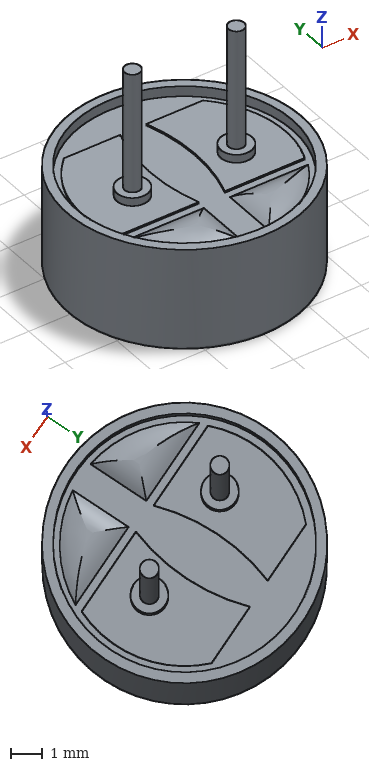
import cadquery as cq
import math

can_diameter = 9.0
can_height = 4.0
bore_diameter = 8.3
can_wall = (can_diameter - bore_diameter) / 2
bottom_fillet = 0.2

rim_depth = 0.4
face_z = can_height - rim_depth

pad_radius = 3.89
pad_thickness = 0.06
pad_top_y = 2.82
pad_bottom_y = -1.51
pad_corner_x = 0.5
pad_waist_x = 0.86

total_height = 8.6
pin_spacing = 4.0
pin_diameter = 0.6
collar_diameter = 1.2
collar_height = 0.315

bump_radius = 3.94
bump_inner_x = pad_corner_x
bump_top_y = -1.79
bump_height = 0.27
flank_width = 0.82
flank_radius = (flank_width**2 + bump_height**2) / (2 * bump_height)


def make_can():
    outer = cq.Workplane("XY").circle(can_diameter / 2).extrude(can_height)
    outer = outer.faces("<Z").edges().fillet(bottom_fillet)
    bore = cq.Workplane("XY", origin=(0, 0, can_wall)).circle(bore_diameter / 2).extrude(can_height)
    return outer.cut(bore)


def make_pad():
    """Pad on the +X side: outer arc, straight ends and a hollow inner edge."""
    top_outer_x = math.sqrt(pad_radius**2 - pad_top_y**2)
    bottom_outer_x = math.sqrt(pad_radius**2 - pad_bottom_y**2)
    middle_y = (pad_top_y + pad_bottom_y) / 2
    return (
        cq.Workplane("XY", origin=(0, 0, face_z))
        .moveTo(pad_corner_x, pad_bottom_y)
        .lineTo(bottom_outer_x, pad_bottom_y)
        .threePointArc((pad_radius, 0), (top_outer_x, pad_top_y))
        .lineTo(pad_corner_x, pad_top_y)
        .threePointArc((pad_waist_x, middle_y), (pad_corner_x, pad_bottom_y))
        .close()
        .extrude(pad_thickness)
    )


def flank_profile(plane, edge, inward, far):
    """Bump section whose rounded flank starts at edge and whose level top runs on to far."""
    arc_angle = math.asin(flank_width / flank_radius) / 2
    arc_end = edge + inward * flank_width
    arc_middle = arc_end - inward * flank_radius * math.sin(arc_angle)
    arc_middle_z = face_z + bump_height - flank_radius * (1 - math.cos(arc_angle))
    top_z = face_z + bump_height
    return (
        cq.Workplane(plane)
        .moveTo(edge, face_z)
        .threePointArc((arc_middle, arc_middle_z), (arc_end, top_z))
        .lineTo(far, top_z)
        .lineTo(far, face_z)
        .close()
    )


def make_bump():
    """Bump on the +X side: the common part of two straight flanks and one round flank."""
    inner_flank = flank_profile("XZ", bump_inner_x, 1, can_diameter).extrude(can_diameter)
    top_flank = flank_profile("YZ", bump_top_y, -1, -can_diameter).extrude(can_diameter)
    round_flank = flank_profile("XZ", bump_radius, -1, 0).revolve(360, (0, 0, 0), (0, 1, 0))
    return round_flank.intersect(inner_flank).intersect(top_flank)


def make_pin():
    """Pin on the +X side with its collar, both standing on the insert face."""
    base = cq.Workplane("XY", origin=(pin_spacing / 2, 0, face_z))
    collar = base.circle(collar_diameter / 2).extrude(pad_thickness + collar_height)
    pin = base.circle(pin_diameter / 2).extrude(total_height - face_z)
    return collar.union(pin)


def make_insert():
    insert = cq.Workplane("XY", origin=(0, 0, can_wall)).circle(bore_diameter / 2).extrude(face_z - can_wall)
    for feature in (make_pad(), make_bump(), make_pin()):
        insert = insert.union(feature).union(feature.mirror("YZ"))
    return insert


can = make_can()
insert = make_insert()

result = cq.Compound.makeCompound([can.val(), *insert.vals()])